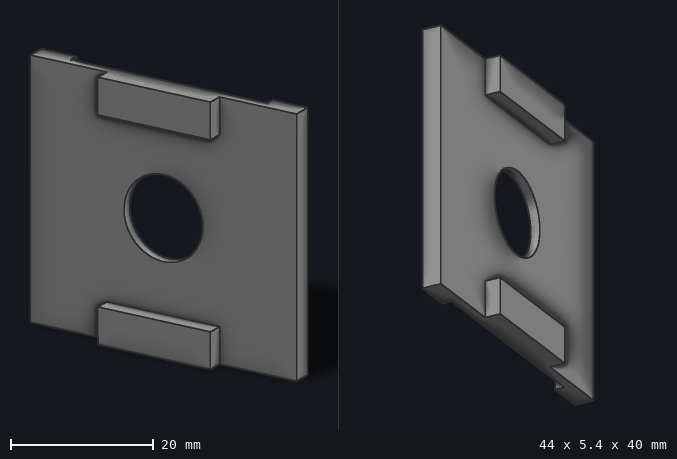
import cadquery as cq

width = 44.0
height = 40.0
total_depth = 5.4
pad_depth = 2.4
plate_depth = total_depth - pad_depth

pad_width = 18.6
pad_height = 5.65

rail_width = 5.8
channel_width = width - 2 * rail_width
channel_depth = plate_depth / 2

hole_diameter = 13.0

plate = cq.Workplane("XY").box(width, plate_depth, height, centered=(True, False, True))

channel = (
    cq.Workplane("XY")
    .box(channel_width, channel_depth, height, centered=(True, False, True))
    .translate((0, plate_depth - channel_depth, 0))
)
body = plate.cut(channel)

pad_center_z = (height - pad_height) / 2
for side in (-1, 1):
    pad = (
        cq.Workplane("XY")
        .box(pad_width, pad_depth, pad_height, centered=(True, False, True))
        .translate((0, -pad_depth, side * pad_center_z))
    )
    body = body.union(pad)

hole = cq.Workplane("XZ").circle(hole_diameter / 2).extrude(-plate_depth)
result = body.cut(hole)